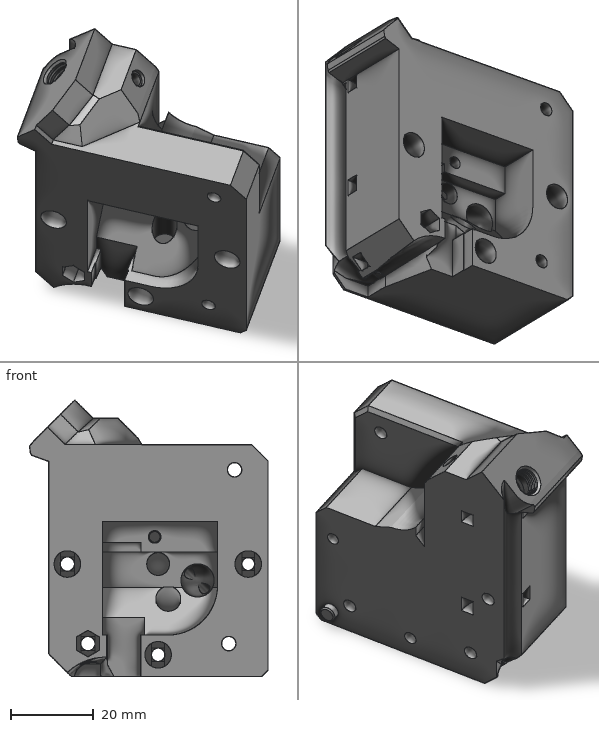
import cadquery as cq
import math

WIDTH = 53.0
DEPTH = 29.0
PLATE_TOP = 56.0
PLATE_DEPTH = 12.1
PLATE_BEVEL = 1.0
LEFT_CHAMFER = 5.5
CORNER_CHAMFER = 4.0
FOOT_CHAMFER = 1.5

LIP_TIP_X = -4.64
LIP_ROOT_Z = 51.9
PEAK_X = 6.32
PEAK_Z = 66.74
FACE_OFFSET = PEAK_Z - PEAK_X
RIDGE_S = PEAK_X + PEAK_Z
SHELF_S = 59.95
SHELF_Y = 1.4
BEVEL_MEET_S = 66.2
BEVEL_MEET_Y = 4.5
RIDGE_Y = 12.5
WEDGE_LENGTH = 17.0
ROOT_OVERLAP = 3.0
LIP_POINTS = [(LIP_TIP_X, 55.6), (-4.4, 53.9), (-4.1, 53.4), (0, LIP_ROOT_Z)]
LIP_BREAK_X = -3.7
LUMP_TOP = 62.35
LUMP_LEFT_X = 4.0
LUMP_SHOULDER_X = 16.76
LUMP_CORNER_X = 21.65
BLOCK_RIGHT_X = 22.5

LUMP_SLOPES = [
    ((LUMP_LEFT_X, SHELF_Y, PLATE_TOP), (0, -1, 1)),
    ((7.2, BEVEL_MEET_Y, 59.05), (-0.453, -1, 2.947)),
    ((11.3, SHELF_Y, PLATE_TOP), (1, -1, 1.449)),
]

LEDGE_Z = 36.3
LEDGE_CHAMFER = 2.9
LEDGE_ARC_R = 9.3
LEDGE_STEP = 1.7
LEDGE_STEP_X = 36.3

POCKET_LEFT = 13.04
POCKET_RIGHT = 40.8
POCKET_BOTTOM = 10.0
POCKET_TOP = 37.45
POCKET_MID = 30.1
POCKET_CORNER_R = 12.0
POCKET_DEPTH = 14.8
UPPER_DEPTH = 11.0
RAMP_FRONT_Y = 3.3
NOTCH_TOP = 32.3
NOTCH_DEPTH = 2.0

FLOOR_BORE_X = 26.44
FLOOR_BORE_Z = 27.15
FLOOR_BORE_D = 5.5
FLOOR_BORE_DEPTH = 5.0
UPPER_BORE_X = 25.6
UPPER_BORE_Z = 33.7
UPPER_BORE_D = 3.05
UPPER_BORE_DEPTH = 3.0
UPPER_BORE_END_D = 2.6
UPPER_BORE_END_DEPTH = 5.0
RAMP_BORE_X = 28.9
RAMP_BORE_Z = 18.75
RAMP_BORE_D = 6.01
RAMP_BORE_BOTTOM = 12.0
RAMP_BORE_TOP = 21.6

SLOT_LEFT = 14.0
SLOT_RIGHT = 22.35
SLOT_STEP = 0.2
SLOT_STEP_Y = 3.2
SLOT_DEPTH = 7.6
SLOT_HEAD_RIGHT = 23.2

FILAMENT_Y = 18.95
FILAMENT_ENTRY_Z = 59.65
FILAMENT_ENTRY_X = FILAMENT_ENTRY_Z - FACE_OFFSET
FILAMENT_DIR = (1, 0, -1)
FILAMENT_D = 2.5
FILAMENT_LENGTH = 58.0
FITTING_D = 6.4
THREAD_D = 7.5
THREAD_PITCH = 1.2
THREAD_TURNS = 4
FITTING_DEPTH = 6.0
TUBE_D = 4.2
TUBE_DEPTH = 11.0
FITTING_WALL_D = 12.0
FITTING_WALL_BOTTOM = LIP_ROOT_Z - 0.5
FITTING_WALL_LENGTH = 30.0
FITTING_WALL_RISE = 20.0

CHAMBER_X = 35.96
CHAMBER_Z = 23.2
CHAMBER_D = 8.0
CHAMBER_Y = 16.3
CHAMBER_MOUTH_Y = 5.0

GROOVE_X = -2.2
GROOVE_Y = 24.95
GROOVE_R = 4.62
GROOVE_FRONT_Y = 20.9
LIP_END_Y = 22.36

TIE_FRONT_Y = 16.9
TIE_REAR_Y = 20.2
TIE_SPANS_Z = [(20.3, 24.5), (48.4, LIP_ROOT_Z)]

FOOT_POCKET_X = 6.0
FOOT_POCKET_Y = (17.3, 20.3)
FOOT_POCKET_Z = (1.2, 4.0)

LEDGE_SLOT_Y = 23.4
LEDGE_SLOT_RIGHT = 24.9
LEDGE_SLOT_FLOOR_Z = 36.0
LEDGE_SLOT_TOP = 50.0

SIDE_SCREW_X = 19.2
SIDE_SCREW_Y = 22.5
SIDE_SCREW_DIR = (-1, 0, -1)
SIDE_SEAT_D = 4.2
SIDE_SEAT_DEPTH = 1.0
SIDE_SCREW_D = 3.2
SIDE_SCREW_DEPTH = 10.0

PASSAGE_RIGHT = 12.5
PASSAGE_TOP = 3.0
PASSAGE_Y = (21.5, 28.4)
ARCH_DEPTH = 21.6
ARCH_FRONT = [(3.6, 0), (8.2, 3.45), (14.1, 4.7), (17.5, 0)]
ARCH_REAR = [(6.2, 0), (7.6, 2.3), (PASSAGE_RIGHT, PASSAGE_TOP), (PASSAGE_RIGHT + 0.1, 0)]
DOME_D = 8.0
DOME_AXIS_Z = 2.7
DOME_SLOPE = 0.27
DOME_LENGTH = 15.0
DOME_FLOOR = 1.5
CORNER_CUT_X = 2.2
CORNER_CUT_Z = 8.5
CORNER_CUT_TOP = 12.0
CORNER_CUT_NORMAL = (-3.33, 4.55, -3.96)

HEAD_D = 6.4
HEAD_DEPTH = 11.0
NUT_DEPTH = 6.0
BRIDGE = 0.3
SCREW_D = 3.4
HEAD_HOLES = [(4.53, 27.15, 3.4), (48.2, 27.15, 3.05), (26.44, 5.25, 3.2)]
NUT_HOLE = (9.5, 7.95, 3.4)
PLAIN_HOLES = [(44.9, 49.9), (43.5, 7.95)]

PIN_X = 48.7
PIN_Z = 4.25
PIN_D = 4.0
PIN_LENGTH = 2.0
PIN_CHAMFER = 0.35

FAR = 200.0
CLEAR = 1.0


def front_plane(y):
    """Workplane at depth y with local axes X and Z; negative extrusions run toward +Y."""
    return cq.Workplane("XZ", origin=(0, y, 0))


def box(x0, x1, y0, y1, z0, z1):
    return cq.Workplane("XY").box(x1 - x0, y1 - y0, z1 - z0, centered=False).translate((x0, y0, z0))


def cylinder(diameter, length, start, direction):
    axis = cq.Vector(*direction)
    return cq.Workplane(cq.Solid.makeCylinder(diameter / 2, length, cq.Vector(*start), axis))


def rod_y(diameter, x, z, y0, y1):
    return cylinder(diameter, y1 - y0, (x, y0, z), (0, 1, 0))


def half_space(point, normal):
    """Everything on the side of the plane that its normal points to."""
    plane = cq.Plane(origin=point, xDir=(normal[1], -normal[0], 0), normal=normal)
    return cq.Workplane(plane).rect(FAR, FAR).extrude(FAR)


def with_left_side(sketch):
    """Closes a block outline over the lip and down the left wall to the left chamfer."""
    shelf_x = (SHELF_S - FACE_OFFSET) / 2
    sketch = (
        sketch.lineTo(LUMP_LEFT_X, PLATE_TOP)
        .lineTo(shelf_x, SHELF_S - shelf_x)
        .lineTo(LIP_BREAK_X, FACE_OFFSET + LIP_BREAK_X)
    )
    for x, z in LIP_POINTS:
        sketch = sketch.lineTo(x, z)
    return sketch.close()


def foot(y):
    """Starts a block outline at the left chamfer and runs it along the bottom to the right wall."""
    return (
        front_plane(y)
        .moveTo(0, LEFT_CHAMFER)
        .lineTo(LEFT_CHAMFER, 0)
        .lineTo(WIDTH - FOOT_CHAMFER, 0)
        .lineTo(WIDTH, FOOT_CHAMFER)
    )


def make_plate():
    """Full-height front plate with a beveled rear edge along its top and right."""
    sketch = (
        foot(0)
        .lineTo(WIDTH, PLATE_TOP - CORNER_CHAMFER)
        .lineTo(WIDTH - CORNER_CHAMFER, PLATE_TOP)
    )
    plate = with_left_side(sketch).extrude(-PLATE_DEPTH)
    upper_right = cq.selectors.BoxSelector(
        (BLOCK_RIGHT_X, PLATE_DEPTH - CLEAR, LEDGE_Z / 2),
        (WIDTH + CLEAR, PLATE_DEPTH + CLEAR, PLATE_TOP + CLEAR),
    )
    return plate.faces(">Y").edges(upper_right).chamfer(PLATE_BEVEL)


def make_rear_block():
    """Rear block: tall at the left, curving down to a low ledge at the right."""
    arc_end_x = BLOCK_RIGHT_X + LEDGE_ARC_R
    arc_end_z = LEDGE_Z + LEDGE_STEP
    diagonal = LEDGE_ARC_R * math.sqrt(0.5)
    start_y = PLATE_DEPTH - PLATE_BEVEL
    sketch = (
        foot(start_y)
        .lineTo(WIDTH, LEDGE_Z - LEDGE_CHAMFER)
        .lineTo(WIDTH - LEDGE_CHAMFER, LEDGE_Z)
        .lineTo(LEDGE_STEP_X, LEDGE_Z)
        .lineTo(arc_end_x, arc_end_z)
        .threePointArc(
            (arc_end_x - diagonal, arc_end_z + LEDGE_ARC_R - diagonal),
            (BLOCK_RIGHT_X, arc_end_z + LEDGE_ARC_R),
        )
        .lineTo(BLOCK_RIGHT_X, PLATE_TOP)
    )
    return with_left_side(sketch).extrude(start_y - DEPTH)


def make_wedge():
    """Wedge behind the 45 degree face, its front end stepped back in two bevels."""
    face_point = (-FACE_OFFSET / 2, 0, FACE_OFFSET / 2)
    plane = cq.Plane(origin=face_point, xDir=(1, 0, 1), normal=(1, 0, -1))
    root_s = SHELF_S - ROOT_OVERLAP
    profile = [
        (root_s, 0),
        (SHELF_S, 0),
        (SHELF_S, SHELF_Y),
        (BEVEL_MEET_S, BEVEL_MEET_Y),
        (RIDGE_S, RIDGE_Y),
        (RIDGE_S, DEPTH),
        (root_s, DEPTH),
    ]
    points = [(s / math.sqrt(2), -y) for s, y in profile]
    return cq.Workplane(plane).polyline(points).close().extrude(WEDGE_LENGTH)


def make_lump():
    """Flat-topped lump right of the wedge, with three sloped faces at its front."""
    base_z = PLATE_TOP - CLEAR
    lump = (
        front_plane(0)
        .moveTo(LUMP_LEFT_X - CLEAR, base_z)
        .lineTo(BLOCK_RIGHT_X, base_z)
        .lineTo(BLOCK_RIGHT_X, PLATE_TOP)
        .lineTo(LUMP_CORNER_X, LUMP_TOP - (LUMP_CORNER_X - LUMP_SHOULDER_X))
        .lineTo(LUMP_SHOULDER_X, LUMP_TOP)
        .lineTo(LUMP_TOP - FACE_OFFSET, LUMP_TOP)
        .close()
        .extrude(-DEPTH)
    )
    for point, normal in LUMP_SLOPES:
        lump = lump.cut(half_space(point, normal))
    return lump


def pocket_outline(depth):
    diagonal = POCKET_CORNER_R * math.sqrt(0.5)
    corner_x = POCKET_RIGHT - POCKET_CORNER_R
    corner_z = POCKET_BOTTOM + POCKET_CORNER_R
    return (
        front_plane(0)
        .moveTo(POCKET_LEFT, POCKET_BOTTOM)
        .lineTo(corner_x, POCKET_BOTTOM)
        .threePointArc((corner_x + diagonal, corner_z - diagonal), (POCKET_RIGHT, corner_z))
        .lineTo(POCKET_RIGHT, POCKET_TOP)
        .lineTo(POCKET_LEFT, POCKET_TOP)
        .close()
        .extrude(-depth)
    )


def make_pocket():
    """Front pocket with a 45 degree ramp at the bottom and a shallower band at the top."""
    pocket = pocket_outline(POCKET_DEPTH)
    pocket = pocket.cut(half_space((0, RAMP_FRONT_Y, POCKET_BOTTOM), (0, 1, -1)))
    upper_fill = box(0, WIDTH, UPPER_DEPTH, DEPTH, POCKET_MID, PLATE_TOP)
    notch_end = UPPER_DEPTH + NOTCH_DEPTH
    notch = box(POCKET_LEFT, SLOT_RIGHT, UPPER_DEPTH - CLEAR, notch_end, POCKET_MID, NOTCH_TOP)
    return pocket.cut(upper_fill).union(notch)


def make_slot():
    """Stepped slot from the pocket down through the bottom, with a wider head on the ramp."""
    wide = box(SLOT_LEFT, SLOT_RIGHT, -CLEAR, SLOT_STEP_Y, -CLEAR, POCKET_BOTTOM)
    narrow = box(SLOT_LEFT + SLOT_STEP, SLOT_RIGHT - SLOT_STEP, 0, SLOT_DEPTH, -CLEAR, POCKET_BOTTOM)
    head_top = POCKET_BOTTOM + SLOT_DEPTH - RAMP_FRONT_Y
    head = box(POCKET_LEFT, SLOT_HEAD_RIGHT, 0, SLOT_DEPTH, POCKET_BOTTOM, head_top)
    return wide.union(narrow).union(head)


def make_pocket_holes():
    """Blind bores in the pocket floor and the upright bore that opens on the ramp."""
    bores = rod_y(FLOOR_BORE_D, FLOOR_BORE_X, FLOOR_BORE_Z, 0, POCKET_DEPTH + FLOOR_BORE_DEPTH)
    bores = bores.union(rod_y(UPPER_BORE_D, UPPER_BORE_X, UPPER_BORE_Z, 0, UPPER_DEPTH + UPPER_BORE_DEPTH))
    end_y = UPPER_DEPTH + UPPER_BORE_END_DEPTH
    bores = bores.union(rod_y(UPPER_BORE_END_D, UPPER_BORE_X, UPPER_BORE_Z, UPPER_DEPTH, end_y))
    ramp_bore_y = RAMP_FRONT_Y + RAMP_BORE_Z - POCKET_BOTTOM
    start = (RAMP_BORE_X, ramp_bore_y, RAMP_BORE_BOTTOM)
    return bores.union(cylinder(RAMP_BORE_D, RAMP_BORE_TOP - RAMP_BORE_BOTTOM, start, (0, 0, 1)))


def make_chamber():
    """Round-ended bore from the pocket to the filament path."""
    ball = cq.Workplane("XY").sphere(CHAMBER_D / 2).translate((CHAMBER_X, CHAMBER_Y, CHAMBER_Z))
    return ball.union(rod_y(CHAMBER_D, CHAMBER_X, CHAMBER_Z, CHAMBER_MOUTH_Y, CHAMBER_Y))


def along_filament(distance):
    """Point on the filament axis at a distance below the 45 degree face."""
    step = distance * math.sqrt(0.5)
    return (FILAMENT_ENTRY_X + step, FILAMENT_Y, FILAMENT_ENTRY_Z - step)


def make_filament_path():
    """Threaded fitting hole, tube seat and filament bore on one axis."""
    start = along_filament(-CLEAR)
    path = cylinder(FITTING_D, FITTING_DEPTH + CLEAR, start, FILAMENT_DIR)
    path = path.union(cylinder(TUBE_D, TUBE_DEPTH, start, FILAMENT_DIR))
    path = path.union(cylinder(FILAMENT_D, FILAMENT_LENGTH, start, FILAMENT_DIR))
    half_pitch = THREAD_PITCH / 2
    for turn in range(THREAD_TURNS):
        base = cq.Plane(origin=along_filament(turn * THREAD_PITCH), xDir=(0, 1, 0), normal=FILAMENT_DIR)
        groove = (
            cq.Workplane(base)
            .circle(THREAD_D / 2)
            .workplane(offset=half_pitch)
            .circle(FITTING_D / 2)
            .loft(ruled=True)
        )
        path = path.union(groove)
    return path


def make_fitting_wall():
    """Round wall about the fitting, extended straight up along the 45 degree face."""
    start = along_filament(-FITTING_WALL_LENGTH / 4)
    round_part = cylinder(FITTING_WALL_D, FITTING_WALL_LENGTH, start, FILAMENT_DIR)
    round_part = round_part.intersect(box(-WIDTH, WIDTH, 0, DEPTH, FITTING_WALL_BOTTOM, PEAK_Z))
    plane = cq.Plane(origin=start, xDir=(0, 1, 0), normal=FILAMENT_DIR)
    straight_part = (
        cq.Workplane(plane)
        .center(0, FITTING_WALL_RISE / 2)
        .rect(FITTING_WALL_D, FITTING_WALL_RISE)
        .extrude(FITTING_WALL_LENGTH)
    )
    return round_part.union(straight_part)


def make_rod_groove():
    """Upright groove that trims the lip and leaves the wall of the fitting standing."""
    groove = cylinder(2 * GROOVE_R, PEAK_Z, (GROOVE_X, GROOVE_Y, 0), (0, 0, 1))
    groove = groove.intersect(box(0, WIDTH, 0, WIDTH, 0, PEAK_Z))
    lip_trim = box(LIP_TIP_X - CLEAR, 0, LIP_END_Y, DEPTH + CLEAR, 0, PEAK_Z)
    return groove.union(lip_trim).cut(make_fitting_wall())


def bridged_bore(x, z, bore, recess_depth, width):
    """Head or nut recess, then a slot and a square bridging layer, then the through hole."""
    slot_end = recess_depth + BRIDGE
    slot = box(x - width / 2, x + width / 2, 0, slot_end, z - HEAD_D, z + HEAD_D)
    wide_bore = bore.translate((0, BRIDGE, 0))
    square_end = slot_end + BRIDGE
    square = box(x - width / 2, x + width / 2, 0, square_end, z - width / 2, z + width / 2)
    through = rod_y(width, x, z, -CLEAR, DEPTH + CLEAR)
    return bore.union(slot.intersect(wide_bore)).union(square).union(through)


def make_tie_channel(z0, z1):
    """Cable tie channel curving from the left wall round to the rear face."""
    return (
        cq.Workplane("XY", origin=(0, DEPTH, z0))
        .circle(DEPTH - TIE_FRONT_Y)
        .circle(DEPTH - TIE_REAR_Y)
        .extrude(z1 - z0)
        .intersect(box(-CLEAR, WIDTH, 0, DEPTH, z0, z1))
    )


def make_foot_pocket():
    return box(0, FOOT_POCKET_X, *FOOT_POCKET_Y, *FOOT_POCKET_Z)


def make_ledge_slot():
    width = LEDGE_SLOT_RIGHT - BLOCK_RIGHT_X
    return (
        front_plane(LEDGE_SLOT_Y)
        .moveTo(BLOCK_RIGHT_X, LEDGE_SLOT_FLOOR_Z)
        .lineTo(LEDGE_SLOT_RIGHT, LEDGE_SLOT_FLOOR_Z + width)
        .lineTo(LEDGE_SLOT_RIGHT, LEDGE_SLOT_TOP)
        .lineTo(BLOCK_RIGHT_X, LEDGE_SLOT_TOP)
        .close()
        .extrude(LEDGE_SLOT_Y - DEPTH)
    )


def make_side_screw():
    """Stepped blind hole square to the shoulder of the lump."""
    face_z = LUMP_TOP - (SIDE_SCREW_X - LUMP_SHOULDER_X)
    start = (SIDE_SCREW_X + CLEAR, SIDE_SCREW_Y, face_z + CLEAR)
    lead = CLEAR * math.sqrt(2)
    seat = cylinder(SIDE_SEAT_D, lead + SIDE_SEAT_DEPTH, start, SIDE_SCREW_DIR)
    return seat.union(cylinder(SIDE_SCREW_D, lead + SIDE_SCREW_DEPTH, start, SIDE_SCREW_DIR))


def arch_section(plane, points):
    left_foot, arc_middle, arc_end, right_foot = points
    return plane.moveTo(*left_foot).threePointArc(arc_middle, arc_end).lineTo(*right_foot).close()


def make_passage_arch():
    """Arch at the front that tapers toward the rear box of the passage."""
    front = arch_section(front_plane(0), ARCH_FRONT)
    sections = arch_section(front.workplane(offset=-ARCH_DEPTH), ARCH_REAR)
    return sections.loft(ruled=True)


def make_cable_passage():
    """Arch, rear box and sloping dome, with the rear corner cut away beside the dome."""
    rear = box(0, PASSAGE_RIGHT, *PASSAGE_Y, -CLEAR, PASSAGE_TOP)
    dome = cylinder(DOME_D, DOME_LENGTH, (-CLEAR, GROOVE_Y, DOME_AXIS_Z), (1, 0, -DOME_SLOPE))
    dome_reach = box(-CLEAR, PASSAGE_RIGHT, GROOVE_FRONT_Y, PASSAGE_Y[1], DOME_FLOOR, CORNER_CUT_TOP)
    corner = box(-CLEAR, CORNER_CUT_X, GROOVE_Y, DEPTH + CLEAR, -CLEAR, CORNER_CUT_TOP)
    corner = corner.intersect(half_space((CORNER_CUT_X, DEPTH, CORNER_CUT_Z), CORNER_CUT_NORMAL))
    return make_passage_arch().union(rear).union(dome.intersect(dome_reach)).union(corner)


def make_pin():
    pin = rod_y(PIN_D, PIN_X, PIN_Z, DEPTH - CLEAR, DEPTH + PIN_LENGTH)
    return pin.faces(">Y").chamfer(PIN_CHAMFER)


def make_head_holes():
    holes = cq.Workplane("XY")
    for x, z, width in HEAD_HOLES:
        head = rod_y(HEAD_D, x, z, -CLEAR, HEAD_DEPTH)
        holes = holes.add(bridged_bore(x, z, head, HEAD_DEPTH, width))
    return holes.combine()


def make_nut_hole():
    """Through hole with a hexagonal nut recess, corners up and down."""
    x, z, width = NUT_HOLE
    nut = (
        front_plane(-CLEAR)
        .transformed(rotate=(0, 0, 30))
        .polygon(6, HEAD_D)
        .extrude(-CLEAR - NUT_DEPTH)
        .translate((x, 0, z))
    )
    return bridged_bore(x, z, nut, NUT_DEPTH, width)


def make_plain_holes():
    holes = cq.Workplane("XY")
    for x, z in PLAIN_HOLES:
        holes = holes.add(rod_y(SCREW_D, x, z, -CLEAR, DEPTH + CLEAR))
    return holes.combine()


body = make_plate().union(make_rear_block()).union(make_wedge()).union(make_lump())

cutters = [
    make_pocket(),
    make_slot(),
    make_pocket_holes(),
    make_chamber(),
    make_rod_groove(),
    make_filament_path(),
    make_foot_pocket(),
    make_ledge_slot(),
    make_side_screw(),
    make_cable_passage(),
    make_head_holes(),
    make_nut_hole(),
    make_plain_holes(),
]
for tie_bottom, tie_top in TIE_SPANS_Z:
    cutters.append(make_tie_channel(tie_bottom, tie_top))
for cutter in cutters:
    body = body.cut(cutter)

result = body.union(make_pin())